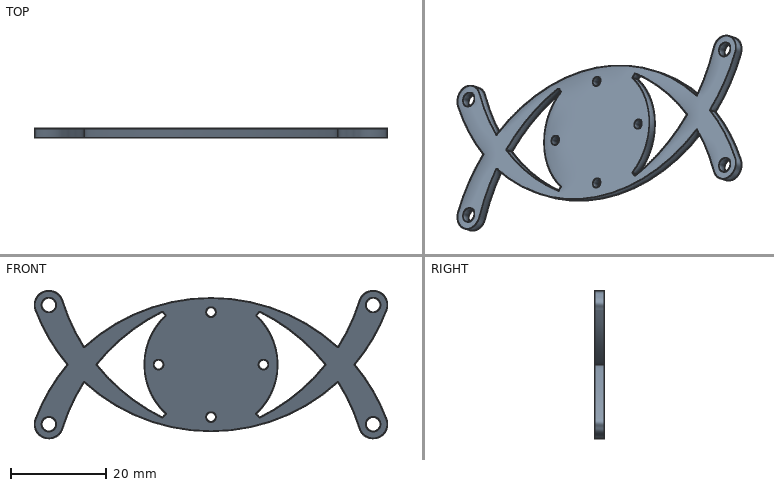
import cadquery as cq
import math

thickness = 2.0
tip_radius = 3.0
tip_x = 34.0
tip_z = 12.495
tip_hole_diameter = 3.0

disc_radius = 14.0
disc_hole_diameter = 2.0
disc_hole_circle_radius = 11.0
disc_hole_count = 4

inner_center = (7.8, -25.5)
window_corner_x = -10.2

lower_left_tip = (-tip_x, -tip_z)
drop_to_tip = disc_radius + tip_z
outer_radius = (tip_x**2 + drop_to_tip**2 - tip_radius**2) / (2 * (drop_to_tip - tip_radius))
outer_center = (0, disc_radius - outer_radius)

inner_radius = math.dist(inner_center, lower_left_tip) - tip_radius


def point_toward(start, target, distance):
    """Point at a distance from start, in the direction of target."""
    fraction = distance / math.dist(start, target)
    return (
        start[0] + (target[0] - start[0]) * fraction,
        start[1] + (target[1] - start[1]) * fraction,
    )


def point_above(center, radius, x):
    """Upper point of a circle at a given x."""
    return (x, center[1] + math.sqrt(radius**2 - (x - center[0]) ** 2))


def point_left_of(center, radius, z):
    """Left point of a circle at a given z."""
    return (center[0] - math.sqrt(radius**2 - (z - center[1]) ** 2), z)


def flipped(point):
    """Mirror image of a point across the X axis."""
    return (point[0], -point[1])


def extrude(sketch):
    """Solid of the plate thickness, centred on the XZ plane."""
    return sketch.extrude(thickness).translate((0, thickness / 2, 0))


def with_mirror(body, plane):
    """Body together with its mirror image across a plane."""
    return body.union(body.mirror(plane))


def make_lens():
    """Pointed oval bounded by the upper and lower outer arcs."""
    left = point_left_of(outer_center, outer_radius, 0)
    right = (-left[0], 0)
    return extrude(
        cq.Workplane("XZ")
        .moveTo(*left)
        .threePointArc((0, disc_radius), right)
        .threePointArc((0, -disc_radius), left)
        .close()
    )


def make_arm():
    """Lower left arm, from the X axis down to its rounded end."""
    middle_z = -tip_z / 2
    outer_end = point_toward(outer_center, lower_left_tip, outer_radius)
    inner_end = point_toward(inner_center, lower_left_tip, inner_radius)
    round_end = point_toward(lower_left_tip, (0, 0), -tip_radius)
    return extrude(
        cq.Workplane("XZ")
        .moveTo(*point_left_of(outer_center, outer_radius, 0))
        .threePointArc(point_left_of(outer_center, outer_radius, middle_z), outer_end)
        .threePointArc(round_end, inner_end)
        .threePointArc(
            point_left_of(inner_center, inner_radius, middle_z),
            point_left_of(inner_center, inner_radius, 0),
        )
        .close()
    )


def make_window():
    """Left opening between the two bands and the disc, with radial end faces."""
    point = point_left_of(inner_center, inner_radius, 0)
    corner = point_above(inner_center, inner_radius, window_corner_x)
    edge_middle = point_above(inner_center, inner_radius, (point[0] + corner[0]) / 2)
    disc_corner = point_toward((0, 0), corner, disc_radius)
    return extrude(
        cq.Workplane("XZ")
        .moveTo(*point)
        .threePointArc(edge_middle, corner)
        .lineTo(*disc_corner)
        .threePointArc((-disc_radius, 0), flipped(disc_corner))
        .lineTo(*flipped(corner))
        .threePointArc(flipped(edge_middle), point)
        .close()
    )


def make_disc_holes():
    return extrude(
        cq.Workplane("XZ")
        .polarArray(disc_hole_circle_radius, 0, 360, disc_hole_count)
        .circle(disc_hole_diameter / 2)
    )


def make_tip_holes():
    return extrude(
        cq.Workplane("XZ")
        .rect(2 * tip_x, 2 * tip_z, forConstruction=True)
        .vertices()
        .circle(tip_hole_diameter / 2)
    )


arms = with_mirror(with_mirror(make_arm(), "XY"), "YZ")
windows = with_mirror(make_window(), "YZ")
result = make_lens().union(arms).cut(windows).cut(make_disc_holes()).cut(make_tip_holes())